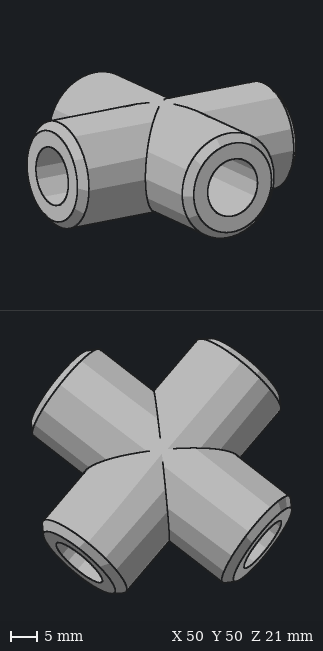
import cadquery as cq

LENGTH = 50.0
OUTER_DIAMETER = 21.0
BORE_DIAMETER = 11.4
END_CHAMFER = 1.6


def centred_cylinder(plane, diameter):
    """Full-length cylinder along the plane's normal, centred on the origin."""
    return cq.Workplane(plane).circle(diameter / 2).extrude(LENGTH / 2, both=True)


def chamfered_bar(plane):
    """Outer body of one run, with both end rims chamfered."""
    return centred_cylinder(plane, OUTER_DIAMETER).edges("%CIRCLE").chamfer(END_CHAMFER)


RUN_PLANES = ("YZ", "XZ")

body = chamfered_bar(RUN_PLANES[0]).union(chamfered_bar(RUN_PLANES[1]))

for run_plane in RUN_PLANES:
    body = body.cut(centred_cylinder(run_plane, BORE_DIAMETER))

result = body